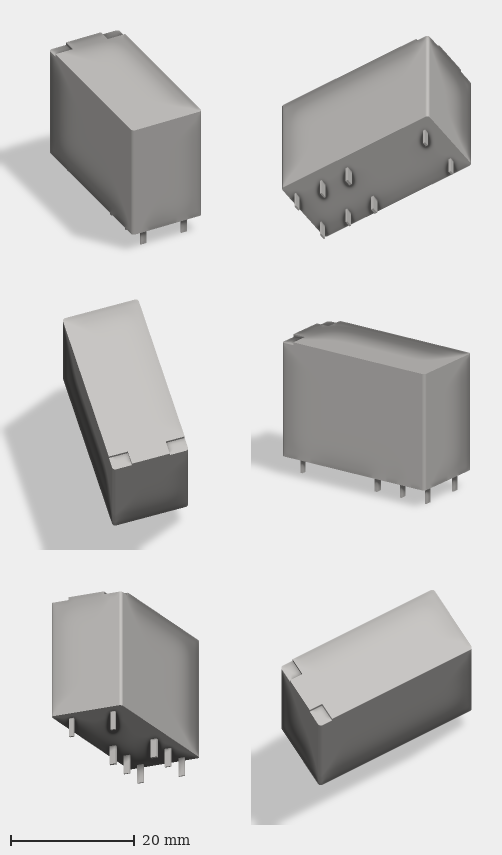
import cadquery as cq

length = 28.6
width = 12.8
overall_height = 23.1
pin_length = 3.12
body_height = overall_height - pin_length
corner_radius = 0.51

notch_length = 2.32
notch_width = width / 4
notch_depth = 0.5

pin_pitch = 5.0
last_pin_x = 12.95
coil_pin_gap = 14.95
contact_pin_x = last_pin_x - 2 * pin_pitch
coil_pin_x = contact_pin_x - coil_pin_gap
coil_pin_y = 3.75
contact_pin_y = 3.72
coil_pin_width = 0.8
contact_pin_width = 1.12
coil_pin_thickness = 0.4
thick_contact_thickness = 0.5
thin_contact_thickness = 0.3

pins = [
    (coil_pin_x, coil_pin_y, coil_pin_thickness, coil_pin_width),
    (contact_pin_x, contact_pin_y, thick_contact_thickness, contact_pin_width),
    (contact_pin_x + pin_pitch, contact_pin_y, thin_contact_thickness, contact_pin_width),
    (last_pin_x, contact_pin_y, thin_contact_thickness, contact_pin_width),
]


def make_housing():
    block = cq.Workplane("XY").box(length, width, body_height, centered=(True, True, False))
    return block.edges("|Z").fillet(corner_radius)


def make_notch(side):
    """Corner cutter on the +Y (side = 1) or -Y (side = -1) side."""
    x = (notch_length - length) / 2
    y = side * (width - notch_width) / 2
    z = body_height - notch_depth / 2
    return cq.Workplane("XY").box(notch_length, notch_width, notch_depth).translate((x, y, z))


def make_pin(x, y, thickness, pin_width):
    """Flat pin hanging from the underside of the housing."""
    return cq.Workplane("XY").center(x, y).rect(thickness, pin_width).extrude(-pin_length)


result = make_housing()
for side in (-1, 1):
    result = result.cut(make_notch(side))
    for x, y, thickness, pin_width in pins:
        result = result.union(make_pin(x, side * y, thickness, pin_width))